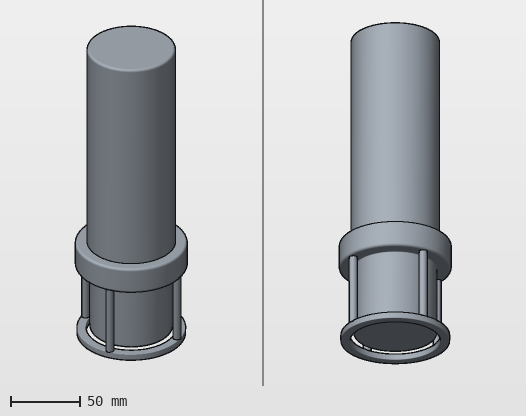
import cadquery as cq

total_height = 239.0

barrel_diameter = 64.0
collar_diameter = 81.0
collar_bottom = 57.1
collar_height = 19.8
nose_diameter = 60.0
nose_bottom = 5.0
edge_radius = 2.0
nose_root_radius = 0.5

ring_outer_diameter = 78.6
ring_inner_diameter = 65.0
ring_height = 5.0
ring_edge_radius = 0.5
rod_diameter = 6.0
rod_count = 4

collar_top = collar_bottom + collar_height
rod_circle_radius = (ring_outer_diameter - rod_diameter) / 2


def cylinder(diameter, bottom, top):
    """Upright cylinder on the Z axis between two heights."""
    return cq.Workplane("XY").workplane(offset=bottom).circle(diameter / 2).extrude(top - bottom)


def make_housing():
    """Closed barrel with a rounded collar and a slightly narrower nose."""
    barrel = cylinder(barrel_diameter, collar_top, total_height).faces(">Z").edges().fillet(edge_radius)
    collar = cylinder(collar_diameter, collar_bottom, collar_top).edges("%CIRCLE").fillet(edge_radius)
    nose = cylinder(nose_diameter, nose_bottom, collar_bottom).faces("<Z").edges().fillet(edge_radius)
    root_height = cq.selectors.BoxSelector(
        (-nose_diameter, -nose_diameter, collar_bottom - nose_root_radius),
        (nose_diameter, nose_diameter, collar_bottom + nose_root_radius),
    )
    lower_part = collar.union(nose)
    lower_part = lower_part.edges(root_height).edges(cq.selectors.RadiusNthSelector(0)).fillet(nose_root_radius)
    return barrel.union(lower_part)


def make_guard():
    """Flat ring with rods rising from it to the underside of the collar."""
    ring = cylinder(ring_outer_diameter, 0, ring_height).cut(cylinder(ring_inner_diameter, 0, ring_height))
    ring = ring.edges("%CIRCLE").fillet(ring_edge_radius)
    rod_start = ring_height / 2
    rods = (
        cq.Workplane("XY")
        .workplane(offset=rod_start)
        .polarArray(rod_circle_radius, 0, 360, rod_count)
        .circle(rod_diameter / 2)
        .extrude(collar_bottom - rod_start)
    )
    return ring.union(rods)


housing = make_housing()
guard = make_guard()

result = cq.Compound.makeCompound([housing.val(), guard.val()])